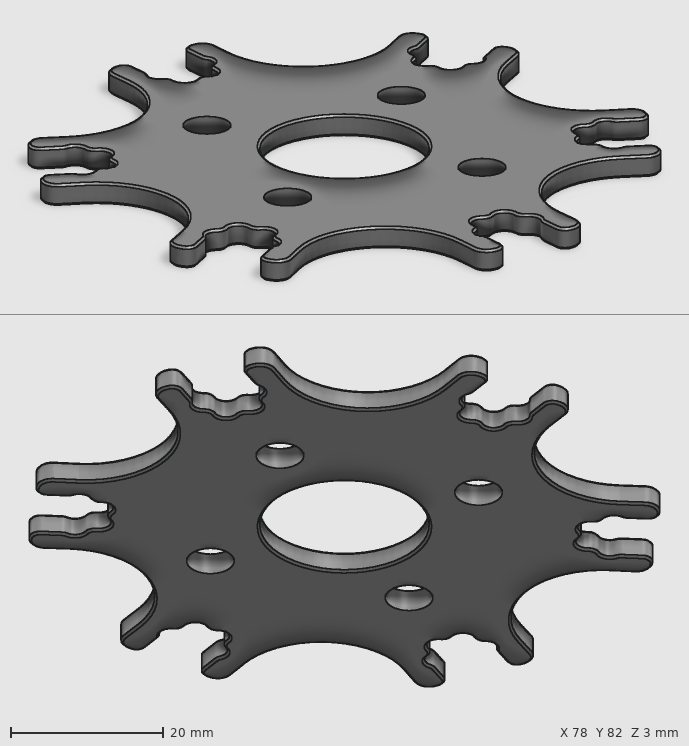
import cadquery as cq
import math

thickness = 3.0
edge_chamfer = 0.3
sector_count = 6
sector_angle = 360 / sector_count

bore_diameter = 22.2
bolt_hole_diameter = 6.2
bolt_hole_count = 4
bolt_circle_radius = 19.5

finger_tip_y = 41.0
finger_inner_x = 4.6
inner_tip_radius = 1.5
outer_tip_radius = 2.1
outer_tip_x = 6.4

cove_radius = 12.0
cove_centre_distance = 40.95

notch_centre_y = 35.2
lobe_pitch_radius = 3.5
lobe_radius = 1.6
lobe_step = 60


def polar(centre, radius, angle):
    """Point at the given radius and angle (degrees) from a centre."""
    turn = math.radians(angle)
    return centre[0] + radius * math.cos(turn), centre[1] + radius * math.sin(turn)


def angle_to(start, end):
    """Direction in degrees from one point to another."""
    return math.degrees(math.atan2(end[1] - start[1], end[0] - start[0]))


def arc(centre, radius, start_angle, end_angle):
    """Arc edge swept from the start angle to the end angle."""
    angles = (start_angle, (start_angle + end_angle) / 2, end_angle)
    return cq.Edge.makeThreePointArc(*(cq.Vector(*polar(centre, radius, angle)) for angle in angles))


def line(start, end):
    return cq.Edge.makeLine(cq.Vector(*start), cq.Vector(*end))


notch_centre = (0, notch_centre_y)
half_step = lobe_step / 2
lobe_half_spacing = lobe_pitch_radius * math.sin(math.radians(half_step))
bump_pitch_radius = lobe_pitch_radius * math.cos(math.radians(half_step)) + math.sqrt(
    (2 * lobe_radius) ** 2 - lobe_half_spacing**2
)
bottom_bump = polar(notch_centre, bump_pitch_radius, -90)
lower_lobe = polar(notch_centre, lobe_pitch_radius, -lobe_step)
side_bump = polar(notch_centre, bump_pitch_radius, -half_step)
side_lobe = polar(notch_centre, lobe_pitch_radius, 0)

blend_x = finger_inner_x + lobe_radius
blend_rise = math.sqrt((2 * lobe_radius) ** 2 - (blend_x - side_lobe[0]) ** 2)
wall_blend = (blend_x, notch_centre_y + blend_rise)

inner_tip = (finger_inner_x + inner_tip_radius, finger_tip_y - inner_tip_radius)
outer_tip = (outer_tip_x, finger_tip_y - outer_tip_radius)

cove_direction = 90 - sector_angle / 2
cove_centre = polar((0, 0), cove_centre_distance, cove_direction)
tip_to_cove = math.dist(outer_tip, cove_centre)
neck_normal = angle_to(outer_tip, cove_centre) + math.degrees(
    math.acos((outer_tip_radius + cove_radius) / tip_to_cove)
)


def half_notch_and_finger():
    """Edges on the +X side of a sector, from the notch floor to the end of the neck."""
    return [
        arc(lower_lobe, lobe_radius, angle_to(lower_lobe, bottom_bump), angle_to(lower_lobe, side_bump)),
        arc(
            side_bump,
            lobe_radius,
            angle_to(side_bump, lower_lobe) % 360,
            angle_to(side_bump, side_lobe) % 360,
        ),
        arc(side_lobe, lobe_radius, angle_to(side_lobe, side_bump), angle_to(side_lobe, wall_blend)),
        arc(wall_blend, lobe_radius, angle_to(wall_blend, side_lobe) % 360, 180),
        line(polar(wall_blend, lobe_radius, 180), polar(inner_tip, inner_tip_radius, 180)),
        arc(inner_tip, inner_tip_radius, 180, 90),
        line(polar(inner_tip, inner_tip_radius, 90), polar(outer_tip, outer_tip_radius, 90)),
        arc(outer_tip, outer_tip_radius, 90, neck_normal),
        line(
            polar(outer_tip, outer_tip_radius, neck_normal),
            polar(cove_centre, cove_radius, neck_normal + 180),
        ),
    ]


def sector_edges():
    """One notch, its two fingers and the cove that leads to the next sector."""
    right_lobe_angle = angle_to(bottom_bump, lower_lobe)
    floor_bump = arc(bottom_bump, lobe_radius, 180 - right_lobe_angle, right_lobe_angle)
    cove_start = neck_normal + 180
    cove_end = 2 * (cove_direction + 180) - cove_start
    cove = arc(cove_centre, cove_radius, cove_start, cove_end)
    right_side = half_notch_and_finger()
    left_side = [edge.mirror("YZ") for edge in right_side]
    return [floor_bump, cove] + right_side + left_side


def plate():
    """Plate with the full outline and the bore, chamfered on both faces."""
    outline_edges = [
        edge.rotate(cq.Vector(0, 0, 0), cq.Vector(0, 0, 1), index * sector_angle)
        for index in range(sector_count)
        for edge in sector_edges()
    ]
    outline = cq.Wire.combine(outline_edges)[0]
    bore = cq.Wire.makeCircle(bore_diameter / 2, cq.Vector(0, 0, 0), cq.Vector(0, 0, 1))
    body = cq.Solid.extrudeLinear(outline, [bore], cq.Vector(0, 0, thickness))
    return cq.Workplane(obj=body).faces("|Z").edges().chamfer(edge_chamfer)


def bolt_holes():
    """Cutters for the plain through holes on the bolt circle."""
    return (
        cq.Workplane()
        .polarArray(bolt_circle_radius, 0, 360, bolt_hole_count)
        .circle(bolt_hole_diameter / 2)
        .extrude(thickness)
    )


result = plate().cut(bolt_holes())